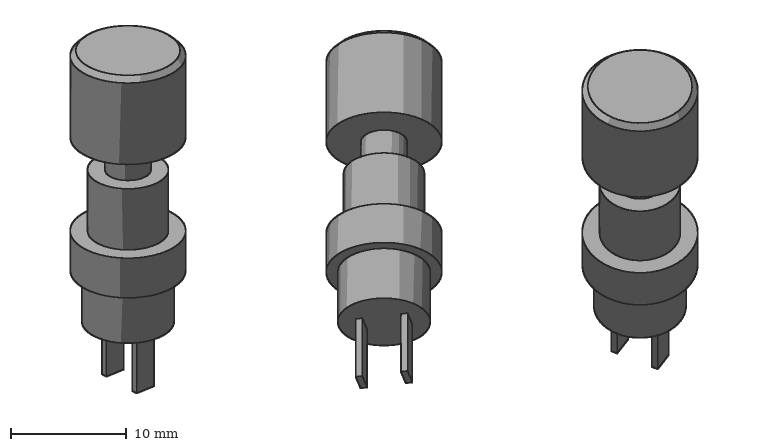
import cadquery as cq


base_diameter = 8.0
base_height = 5.0
flange_diameter = 10.0
flange_height = 3.9
neck_diameter = 7.0
neck_height = 6.0
stem_diameter = 4.0
stem_height = 3.2
cap_diameter = 10.0
cap_height = 8.5
cap_chamfer = 0.5

terminal_thickness = 0.6
terminal_width = 2.0
terminal_length = 5.8
terminal_spacing = 4.0

flange_bottom = base_height
neck_bottom = flange_bottom + flange_height
stem_bottom = neck_bottom + neck_height
cap_bottom = stem_bottom + stem_height


def cylinder(diameter, height, bottom):
    """Upright cylinder on the Z axis, standing on the given height."""
    return cq.Workplane("XY").workplane(offset=bottom).circle(diameter / 2).extrude(height)


def make_body():
    """Base, mounting flange, neck and plunger stem."""
    base = cylinder(base_diameter, base_height, 0)
    flange = cylinder(flange_diameter, flange_height, flange_bottom)
    neck = cylinder(neck_diameter, neck_height, neck_bottom)
    stem = cylinder(stem_diameter, stem_height, stem_bottom)
    return base.union(flange).union(neck).union(stem)


def make_cap():
    """Button cap with a chamfered top edge."""
    cap = cylinder(cap_diameter, cap_height, cap_bottom)
    return cap.faces(">Z").edges().chamfer(cap_chamfer)


def make_terminals():
    """Pair of flat blades hanging from the base."""
    half_spacing = terminal_spacing / 2
    return (
        cq.Workplane("XY")
        .pushPoints([(-half_spacing, 0), (half_spacing, 0)])
        .rect(terminal_thickness, terminal_width)
        .extrude(-terminal_length)
    )


result = make_body().union(make_cap()).union(make_terminals())